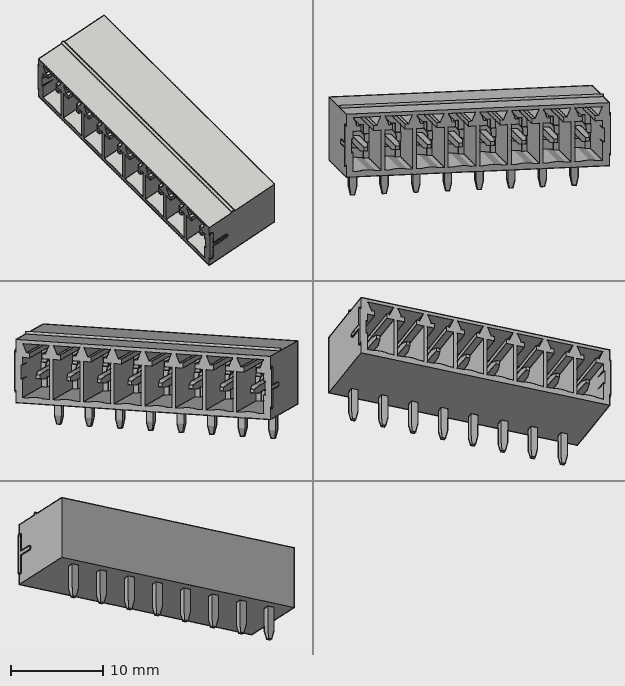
import cadquery as cq
import math


overall_length = 29.35
side_rib_height = 0.12
body_length = overall_length - 2 * side_rib_height
body_depth = 9.2
body_height = 6.99

contact_count = 8
row_length = 24.5
pitch = row_length / (contact_count - 1)
contact_positions = [index * pitch - row_length / 2 for index in range(contact_count)]

cavity_width = 3.08
cavity_depth = 6.45
cavity_floor = 0.62
cavity_ceiling = 5.05
neck_width = 1.4
dovetail_base = 5.6
dovetail_base_width = 2.15
dovetail_top = 6.57
dovetail_top_width = 3.0

wall_step = 0.2
channel_width = 1.95
channel_top = 4.35
band_height = 0.97
boss_diameter = 2.0
boss_height = 2 * wall_step
rail_rise = 0.12

pin_width = 0.8
pin_z = 2.88
pin_front = 0.7
pin_tip_width = 0.4
pin_taper = 0.97
leg_y = 7.75
leg_length = 3.65

rib_width = 0.5
rib_bar_length = 4.73
rib_stem_reach = 2.52
rib_z = body_height / 2

ridge_y = 3.4
ridge_width = 0.38
ridge_height = 0.25

end_relief_bottom = 2.67
end_relief_top = 4.2
end_relief_width = 0.18
end_relief_depth = 1.45


def box(x_range, y_range, z_range):
    """Axis-aligned block between the given limits."""
    size = [high - low for low, high in (x_range, y_range, z_range)]
    block = cq.Workplane("XY").box(*size, centered=False)
    return block.translate((x_range[0], y_range[0], z_range[0]))


def centred(middle, width):
    """Limits of a span of the given width around its middle."""
    return (middle - width / 2, middle + width / 2)


def make_cavity(x):
    """Volume removed for one contact position."""
    half_profile = [
        (cavity_width / 2, cavity_floor),
        (cavity_width / 2, cavity_ceiling),
        (neck_width / 2, cavity_ceiling),
        (neck_width / 2, dovetail_base),
        (dovetail_base_width / 2, dovetail_base),
        (dovetail_top_width / 2, dovetail_top),
    ]
    mirrored = [(-across, height) for across, height in reversed(half_profile)]
    opening = cq.Workplane("XZ").polyline(half_profile + mirrored).close().extrude(-cavity_depth)
    channel = box(centred(0, channel_width), (0, cavity_depth + wall_step), (cavity_floor, channel_top))
    rail = (
        cq.Workplane("XZ")
        .moveTo(-channel_width / 2, cavity_floor)
        .threePointArc((0, cavity_floor + rail_rise), (channel_width / 2, cavity_floor))
        .close()
        .extrude(-(cavity_depth + wall_step))
    )
    band = box(
        centred(0, cavity_width),
        (cavity_depth - wall_step, cavity_depth + wall_step),
        centred(pin_z, band_height),
    )
    boss = (
        cq.Workplane("XZ", origin=(0, cavity_depth - boss_height, pin_z))
        .circle(boss_diameter / 2)
        .extrude(-(boss_height + wall_step))
    )
    return opening.union(channel).cut(rail).cut(band).cut(boss).translate((x, 0, 0))


def make_end_relief():
    """Wedge removed from the outer wall at +X, widest at the front face."""
    wall_x = row_length / 2 + cavity_width / 2
    return (
        cq.Workplane("XY", origin=(wall_x, 0, end_relief_bottom))
        .polyline([(0, 0), (end_relief_width, 0), (0, end_relief_depth)])
        .close()
        .extrude(end_relief_top - end_relief_bottom)
    )


def make_square_pin(length):
    """Square pin along +Z from the origin, tapered at its far end."""
    taper_angle = math.degrees(math.atan((pin_width - pin_tip_width) / 2 / pin_taper))
    shank = cq.Workplane("XY").rect(pin_width, pin_width).extrude(length - pin_taper)
    return shank.faces(">Z").workplane().rect(pin_width, pin_width).extrude(pin_taper, taper=taper_angle)


def make_contact(x):
    """Bent contact: a pin pointing forward in the cavity and a leg below the body."""
    forward = make_square_pin(leg_y - pin_front)
    forward = forward.rotate((0, 0, 0), (1, 0, 0), 90).translate((x, leg_y, pin_z))
    leg = make_square_pin(leg_length + pin_z)
    leg = leg.rotate((0, 0, 0), (1, 0, 0), 180).translate((x, leg_y, pin_z))
    return forward.union(leg)


def make_side_rib():
    """T-shaped rib standing on the -X end face."""
    bar = (
        cq.Workplane("YZ", origin=(-overall_length / 2, rib_width / 2, rib_z))
        .slot2D(rib_bar_length, rib_width, 90)
        .extrude(side_rib_height)
    )
    stem = (
        cq.Workplane("YZ", origin=(-overall_length / 2, rib_stem_reach / 2, rib_z))
        .slot2D(rib_stem_reach, rib_width)
        .extrude(side_rib_height)
    )
    return bar.union(stem)


def make_ridge():
    """Ridge with a half-round crest."""
    shoulder = body_height + ridge_height - ridge_width / 2
    return (
        cq.Workplane("YZ", origin=(-body_length / 2, 0, 0))
        .moveTo(ridge_y - ridge_width / 2, body_height)
        .lineTo(ridge_y - ridge_width / 2, shoulder)
        .threePointArc((ridge_y, body_height + ridge_height), (ridge_y + ridge_width / 2, shoulder))
        .lineTo(ridge_y + ridge_width / 2, body_height)
        .close()
        .extrude(body_length)
    )


result = box(centred(0, body_length), (0, body_depth), (0, body_height)).union(make_ridge())

side_rib = make_side_rib()
result = result.union(side_rib).union(side_rib.mirror("YZ"))

for position in contact_positions:
    result = result.cut(make_cavity(position))

end_relief = make_end_relief()
result = result.cut(end_relief).cut(end_relief.mirror("YZ"))

for position in contact_positions:
    result = result.union(make_contact(position))